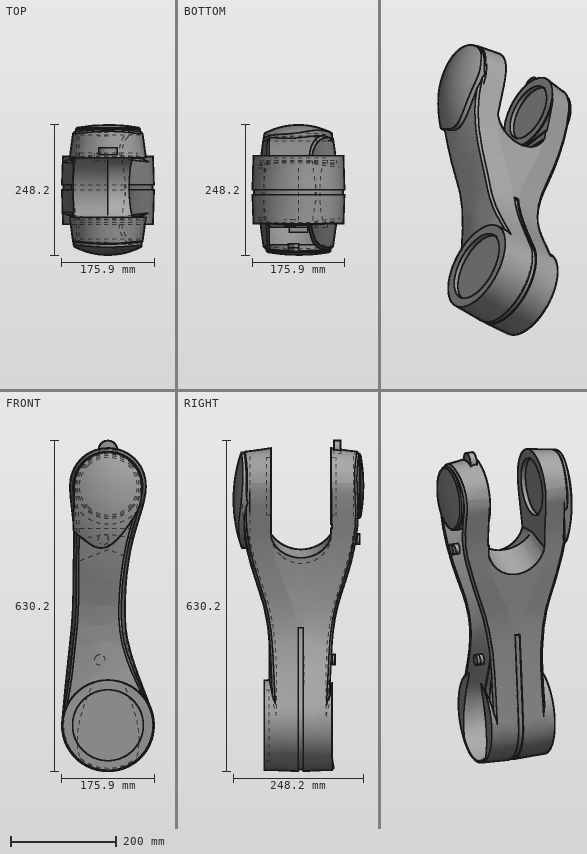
import cadquery as cq
import math


LOWER_R = 175.91 / 2
UPPER_R = 145.0 / 2
UPPER_Z = 455.6
DRAFT = math.tan(math.radians(8.0))

FORK_HALF_GAP = 57.0
ARCH_Z = 335.0
ARCH_END_Z = 364.0
ARCH_SLOPE = 0.4
ARCH_END_SLOPE = 0.15
FACE_STEP = 2.0
FACE_STEP_Z = 375.0
EDGE_CHAMFER = 4.0

BARREL_FRONT = 70.2
BARREL_REAR = 59.3
BARREL_END_R = LOWER_R - 2.0
LOW_DRAFT = 0.04
BARREL_RECESS_D = 135.0
LOBE_RECESS_D = 110.0
RECESS_DEPTH = 9.0

GROOVE_HALF_WIDTH = 4.8
GROOVE_DEPTH = 3.0
GROOVE_TOP_Z = 186.0

OVERRUN = 1.0
REACH = 135.0
CROWN_X = 90.0

LEFT_WALL = [
    (-80.0, 85.0, 5.0),
    (-73.8, 142.0, 5.0),
    (-67.2, 222.0, 14.0),
    (-66.0, 298.0, 45.0),
    (-66.2, 385.0, FORK_HALF_GAP),
    (-71.2, 431.0, FORK_HALF_GAP),
]
RIGHT_WALL = [
    (66.5, 418.0, FORK_HALF_GAP),
    (49.0, 359.0, FORK_HALF_GAP),
    (39.5, 313.0, 48.0),
    (33.6, 260.0, 28.0),
    (32.6, 207.0, 10.0),
    (36.0, 169.0, 5.0),
    (49.4, 119.0, 5.0),
]
LEFT_WALL_ANGLE = 175.0
RIGHT_WALL_ANGLE = 21.0
LEFT_LOBE_ANGLE = 165.0
RIGHT_LOBE_ANGLE = 5.0

OUTER_FACE = [
    (-100.0, 60.0, 14.0),
    (100.0, 60.0, 14.0),
    (159.0, 60.5, 13.0),
    (190.0, 63.5, 12.0),
    (228.0, 71.0, 12.0),
    (277.0, 86.5, 12.0),
    (335.0, 103.0, 12.0),
    (373.0, 109.0, 8.0),
    (420.0, 111.5, 8.0),
    (545.0, 111.5, 8.0),
]

COVER_SEAT_Y = -98.0
COVER_TOP_Y = -128.85
COVER_R = 64.0
COVER_MID_Z = 430.0
COVER_CROWN_R = 136.0
COVER_CROWN_SWING_R = 272.0
COVER_LEFT = (-52.5, 359.0)
COVER_TAIL = (-19.0, 338.0)
COVER_UPPER_RIGHT = (63.0, 430.0)
COVER_RIGHT = (38.0, 379.0)

CAP_SEAT_Y = 100.0
CAP_BASE_D = 123.0
CAP_EDGE_Y = 114.0
CAP_DOME_D = 117.0
CAP_TOP_Y = 119.3

TAB_TOP_Z = 630.23 - LOWER_R
TAB_R = 18.0
TAB_Y = 69.0
TAB_WIDTH = 13.0
TAB_SEAT_Z = 518.0

STUDS = [(-9.0, 354.5, 112.0), (-16.0, 125.0, 65.0)]
STUD_D = 20.0
STUD_LENGTH = 14.0


def disc(diameter, x, z, y_from, y_to):
    """Cylinder along Y between two Y positions."""
    return (
        cq.Workplane("XZ", origin=(x, y_from, z))
        .circle(diameter / 2)
        .extrude(y_from - y_to)
    )


def polar(radius, degrees, z_centre=0.0):
    angle = math.radians(degrees)
    return (radius * math.cos(angle), z_centre + radius * math.sin(angle))


def arm_outline(y, draft=0.0, low_draft=0.0, shrink=0.0):
    """Closed outline of the arm at a Y position, with its walls leaned and shrunk."""

    def change(wall_y):
        return draft * (wall_y - y) - shrink

    low_r = LOWER_R - low_draft * y - shrink
    top_r = UPPER_R + change(FORK_HALF_GAP)
    left = [(x - change(wall_y), z) for x, z, wall_y in LEFT_WALL]
    right = [(x + change(wall_y), z) for x, z, wall_y in RIGHT_WALL]
    low_left = polar(low_r, LEFT_WALL_ANGLE)
    low_right = polar(low_r, RIGHT_WALL_ANGLE)
    top_left = polar(top_r, LEFT_LOBE_ANGLE, UPPER_Z)
    top_right = polar(top_r, RIGHT_LOBE_ANGLE, UPPER_Z)
    left_lean = polar(1.0, LEFT_WALL_ANGLE - 90.0)
    right_lean = polar(1.0, RIGHT_WALL_ANGLE - 90.0)
    left_turn = polar(1.0, LEFT_LOBE_ANGLE - 90.0)
    right_turn = polar(1.0, RIGHT_LOBE_ANGLE - 90.0)
    return (
        cq.Workplane("XZ", origin=(0, y, 0))
        .moveTo(*low_left)
        .spline(left + [top_left], tangents=[left_lean, left_turn], includeCurrent=True)
        .threePointArc((0, UPPER_Z + top_r), top_right)
        .spline(right + [low_right], tangents=[right_turn, right_lean], includeCurrent=True)
        .threePointArc((0, -low_r), low_left)
        .close()
    )


def straight_arm(half_width, shrink=0.0):
    """The widest outline, straight along Y and centred on y = 0."""
    return arm_outline(half_width, shrink=shrink).extrude(2 * half_width)


def crowned_block():
    """Block bounded by the outer face, which falls away toward both sides."""
    sections = []
    for x, fall_share in ((-CROWN_X, 1.0), (0.0, 0.0), (CROWN_X, 1.0)):
        face = [(y - fall_share * fall, z) for z, y, fall in OUTER_FACE]
        wire = (
            cq.Workplane("YZ", origin=(x, 0, 0))
            .moveTo(*face[0])
            .spline(face[1:], includeCurrent=True)
            .lineTo(0, face[-1][1])
            .lineTo(0, face[0][1])
            .close()
        )
        sections.append(wire.val())
    return cq.Workplane(cq.Solid.makeLoft(sections))


def arm_half():
    """Rear half of the arm, from y = 0 outward."""
    near = arm_outline(0.0, DRAFT, LOW_DRAFT).val()
    far = arm_outline(REACH, DRAFT, LOW_DRAFT).val()
    leaning = cq.Workplane(cq.Solid.makeLoft([near, far], True))
    crowned = leaning.intersect(crowned_block())
    crowned = crowned.faces(">Y").chamfer(EDGE_CHAMFER)
    return crowned.intersect(straight_arm(REACH))


def barrel():
    """Lower joint barrel, narrowing from the middle to both faces."""
    return (
        cq.Workplane("XY")
        .moveTo(0, -BARREL_FRONT)
        .lineTo(BARREL_END_R, -BARREL_FRONT)
        .lineTo(LOWER_R, -GROOVE_HALF_WIDTH)
        .lineTo(LOWER_R, GROOVE_HALF_WIDTH)
        .lineTo(BARREL_END_R, BARREL_REAR)
        .lineTo(0, BARREL_REAR)
        .close()
        .revolve(360, (0, 0, 0), (0, 1, 0))
    )


def fork_gap():
    """Space between the lobes, with an arched floor that falls to both sides."""
    top_z = UPPER_Z + 2 * UPPER_R

    def gap_section(x):
        end_z = ARCH_END_Z - ARCH_END_SLOPE * abs(x)
        low_z = ARCH_Z - ARCH_SLOPE * abs(x)
        return (
            cq.Workplane("YZ", origin=(x, 0, 0))
            .moveTo(-FORK_HALF_GAP, end_z)
            .threePointArc((0, low_z), (FORK_HALF_GAP, end_z))
            .lineTo(FORK_HALF_GAP, top_z)
            .lineTo(-FORK_HALF_GAP, top_z)
            .close()
            .val()
        )

    sections = [gap_section(x) for x in (-CROWN_X, 0.0, CROWN_X)]
    return cq.Workplane(cq.Solid.makeLoft(sections, True))


def rear_wall_step():
    """Thin layer off the rear inner wall, leaving the round joint face proud."""
    layer = (
        cq.Workplane("XY", origin=(0, FORK_HALF_GAP, FACE_STEP_Z))
        .box(2 * CROWN_X, FACE_STEP, UPPER_Z - FACE_STEP_Z, centered=(True, False, False))
    )
    face = disc(2 * UPPER_R, 0, UPPER_Z, FORK_HALF_GAP, FORK_HALF_GAP + FACE_STEP)
    return layer.cut(face)


def middle_groove():
    """Shallow groove following the lower outline at mid-thickness."""
    core = straight_arm(GROOVE_HALF_WIDTH + OVERRUN, GROOVE_DEPTH)
    band = (
        cq.Workplane("XY", origin=(0, 0, -CROWN_X))
        .box(
            3 * CROWN_X,
            2 * GROOVE_HALF_WIDTH,
            GROOVE_TOP_Z + CROWN_X,
            centered=(True, True, False),
        )
    )
    return band.cut(core)


def make_arm():
    rear = arm_half()
    arm = rear.union(rear.mirror("XZ")).union(barrel())
    arm = arm.cut(fork_gap()).cut(rear_wall_step()).cut(middle_groove())
    arm = arm.cut(disc(BARREL_RECESS_D, 0, 0, -BARREL_FRONT, RECESS_DEPTH - BARREL_FRONT))
    for side in (-1, 1):
        inner = side * FORK_HALF_GAP
        arm = arm.cut(disc(LOBE_RECESS_D, 0, UPPER_Z, inner, inner + side * RECESS_DEPTH))
    return arm


def make_front_cover():
    outline = (
        cq.Workplane("XZ", origin=(0, COVER_SEAT_Y, 0))
        .moveTo(-COVER_R, UPPER_Z)
        .threePointArc((0, UPPER_Z + COVER_R), (COVER_R, UPPER_Z))
        .spline(
            [COVER_UPPER_RIGHT, COVER_RIGHT, COVER_TAIL, COVER_LEFT, (-COVER_R, UPPER_Z)],
            tangents=[(0, -1), (0, 1)],
            includeCurrent=True,
        )
        .close()
        .extrude(COVER_SEAT_Y - COVER_TOP_Y + OVERRUN)
    )
    rise = COVER_SEAT_Y - COVER_TOP_Y
    half_chord = math.sqrt(COVER_CROWN_R**2 - (COVER_CROWN_R - rise) ** 2)
    axis_y = COVER_TOP_Y + COVER_CROWN_SWING_R
    crown = (
        cq.Workplane("XY", origin=(0, 0, COVER_MID_Z))
        .moveTo(-half_chord, axis_y - OVERRUN)
        .lineTo(-half_chord, COVER_SEAT_Y)
        .threePointArc((0, COVER_TOP_Y), (half_chord, COVER_SEAT_Y))
        .lineTo(half_chord, axis_y - OVERRUN)
        .close()
        .revolve(360, (0, axis_y, 0), (1, axis_y, 0))
    )
    return outline.intersect(crown)


def make_rear_cap():
    shoulder_y = CAP_EDGE_Y - (CAP_BASE_D - CAP_DOME_D) / 2
    dome_rise = CAP_TOP_Y - CAP_EDGE_Y
    dome_r = ((CAP_DOME_D / 2) ** 2 + dome_rise**2) / (2 * dome_rise)
    dome_mid_y = CAP_TOP_Y - dome_r + math.sqrt(dome_r**2 - (CAP_DOME_D / 4) ** 2)
    return (
        cq.Workplane("XY", origin=(0, 0, UPPER_Z))
        .moveTo(0, CAP_SEAT_Y)
        .lineTo(CAP_BASE_D / 2, CAP_SEAT_Y)
        .lineTo(CAP_BASE_D / 2, shoulder_y)
        .lineTo(CAP_DOME_D / 2, CAP_EDGE_Y)
        .threePointArc((CAP_DOME_D / 4, dome_mid_y), (0, CAP_TOP_Y))
        .close()
        .revolve(360, (0, 0, 0), (0, 1, 0))
    )


def make_tab():
    shoulder_z = TAB_TOP_Z - TAB_R
    return (
        cq.Workplane("XZ", origin=(0, TAB_Y + TAB_WIDTH / 2, 0))
        .moveTo(-TAB_R, TAB_SEAT_Z)
        .lineTo(-TAB_R, shoulder_z)
        .threePointArc((0, TAB_TOP_Z), (TAB_R, shoulder_z))
        .lineTo(TAB_R, TAB_SEAT_Z)
        .close()
        .extrude(TAB_WIDTH)
    )


front_cover = make_front_cover()
rear_cap = make_rear_cap()
tab = make_tab()
studs = [disc(STUD_D, x, z, y - STUD_LENGTH, y) for x, z, y in STUDS]

arm = make_arm()
for fitted_body in [front_cover, rear_cap, tab, *studs]:
    arm = arm.cut(fitted_body)

bodies = [arm, front_cover, rear_cap, tab, *studs]
result = cq.Compound.makeCompound([body.solids().val() for body in bodies])